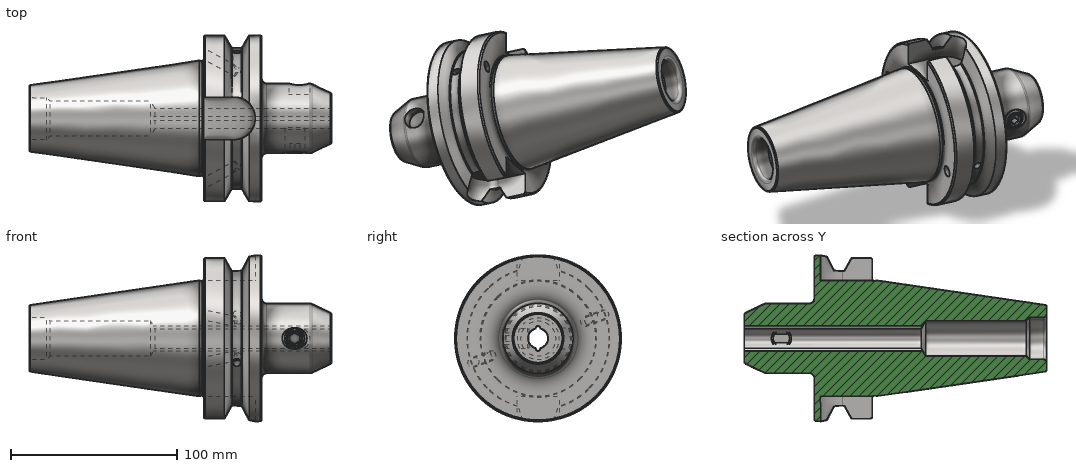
import cadquery as cq
import math


TOTAL_LENGTH = 181.8
GAUGE_X = 102.2
GAUGE_RADIUS = 34.9
TAPER_SLOPE = 7 / 48
SHANK_CHAMFER = 0.7
NECK_START_X = 103.5
NECK_RADIUS = 34.5
NECK_FILLET = 0.7

FLANGE_START_X = 104.7
FLANGE_END_X = 139.8
FLANGE_RADIUS = 50.0
FLANGE_CHAMFER = 0.9
GROOVE_X = 124.7
GROOVE_FLOOR_WIDTH = 6.2
GROOVE_RADIUS = 42.5
GROOVE_FILLET = 0.7
GROOVE_FLANK_ANGLE = 30.0

SLOT_WIDTH = 25.6
SLOT_END_X = 135.8
SLOT_FLOOR_Z = 34.9

NOSE_RADIUS = 21.0
NOSE_FILLET = 2.7
NOSE_CONE_X = 169.0
NOSE_CONE_ROUND = 2.5
NOSE_TIP_RADIUS = 15.5
NOSE_TIP_CHAMFER = 0.9

PILOT_RADIUS = 12.5
PILOT_MOUTH_ROUND = 2.2
PILOT_DEPTH = 10.4
THREAD_RADIUS = 10.5
THREAD_END_X = 72.7
DRILL_TIP_ANGLE = 59.0

TOOL_BORE_RADIUS = 6.0
COOLANT_GROOVE_RADIUS = 1.3
COOLANT_GROOVE_OFFSET = 6.2

COOLANT_ANGLE = 20.0
COOLANT_TILT = 30.0
COOLANT_FACE_RADIUS = 41.5
COOLANT_FACE_HOLE_DIAMETER = 6.0
COOLANT_GROOVE_HOLE_DIAMETER = 4.7

SCREW_X = 159.5
SCREW_RADIUS = 6.0
SCREW_TIP_Y = -5.5
SCREW_HEAD_Y = -20.9
SCREW_CHAMFER = 1.0
SCREW_SEAT_RADIUS = 7.5
HEX_ACROSS_FLATS = 6.0
HEX_DEPTH = 6.0
HEX_MOUTH_RADIUS = 4.2

BALANCE_X = 162.2
BALANCE_RADIUS = 6.4
BALANCE_FLOOR_Y = 14.5

CUT_MARGIN = 1.8
EDGE_REACH = 0.2


def circle_at(x):
    """Selector for the edges lying in the plane at the given X."""
    return cq.selectors.BoxSelector(
        (x - EDGE_REACH, -FLANGE_RADIUS, -FLANGE_RADIUS),
        (x + EDGE_REACH, FLANGE_RADIUS, FLANGE_RADIUS),
        boundingbox=True,
    )


def turned_body():
    flank_length = (FLANGE_RADIUS - GROOVE_RADIUS) * math.tan(math.radians(GROOVE_FLANK_ANGLE))
    floor_start = GROOVE_X - GROOVE_FLOOR_WIDTH / 2
    floor_end = GROOVE_X + GROOVE_FLOOR_WIDTH / 2
    small_end_radius = GAUGE_RADIUS - GAUGE_X * TAPER_SLOPE
    body = (
        cq.Workplane("XZ")
        .moveTo(0, 0)
        .lineTo(0, small_end_radius - SHANK_CHAMFER)
        .lineTo(SHANK_CHAMFER, small_end_radius + SHANK_CHAMFER * TAPER_SLOPE)
        .lineTo(GAUGE_X, GAUGE_RADIUS)
        .lineTo(NECK_START_X, NECK_RADIUS)
        .lineTo(FLANGE_START_X - NECK_FILLET, NECK_RADIUS)
        .radiusArc((FLANGE_START_X, NECK_RADIUS + NECK_FILLET), -NECK_FILLET)
        .lineTo(FLANGE_START_X, FLANGE_RADIUS - FLANGE_CHAMFER)
        .lineTo(FLANGE_START_X + FLANGE_CHAMFER, FLANGE_RADIUS)
        .lineTo(floor_start - flank_length, FLANGE_RADIUS)
        .lineTo(floor_start, GROOVE_RADIUS)
        .lineTo(floor_end, GROOVE_RADIUS)
        .lineTo(floor_end + flank_length, FLANGE_RADIUS)
        .lineTo(FLANGE_END_X - FLANGE_CHAMFER, FLANGE_RADIUS)
        .lineTo(FLANGE_END_X, FLANGE_RADIUS - FLANGE_CHAMFER)
        .lineTo(FLANGE_END_X, NOSE_RADIUS + NOSE_FILLET)
        .radiusArc((FLANGE_END_X + NOSE_FILLET, NOSE_RADIUS), -NOSE_FILLET)
        .lineTo(NOSE_CONE_X, NOSE_RADIUS)
        .lineTo(TOTAL_LENGTH - NOSE_TIP_CHAMFER, NOSE_TIP_RADIUS)
        .lineTo(TOTAL_LENGTH, NOSE_TIP_RADIUS - NOSE_TIP_CHAMFER)
        .lineTo(TOTAL_LENGTH, 0)
        .close()
        .revolve(360, (0, 0, 0), (1, 0, 0))
    )
    for edge_x in (floor_start, floor_end):
        body = body.edges(circle_at(edge_x)).fillet(GROOVE_FILLET)
    return body.edges(circle_at(NOSE_CONE_X)).fillet(NOSE_CONE_ROUND)


def stepped_bore():
    thread_chamfer = PILOT_RADIUS - THREAD_RADIUS
    drill_tip_length = (THREAD_RADIUS - TOOL_BORE_RADIUS) / math.tan(math.radians(DRILL_TIP_ANGLE))
    return (
        cq.Workplane("XZ")
        .moveTo(0, 0)
        .lineTo(0, PILOT_RADIUS + PILOT_MOUTH_ROUND)
        .radiusArc((PILOT_MOUTH_ROUND, PILOT_RADIUS), -PILOT_MOUTH_ROUND)
        .lineTo(PILOT_DEPTH, PILOT_RADIUS)
        .lineTo(PILOT_DEPTH + thread_chamfer, THREAD_RADIUS)
        .lineTo(THREAD_END_X, THREAD_RADIUS)
        .lineTo(THREAD_END_X + drill_tip_length, TOOL_BORE_RADIUS)
        .lineTo(TOTAL_LENGTH, TOOL_BORE_RADIUS)
        .lineTo(TOTAL_LENGTH, 0)
        .close()
        .revolve(360, (0, 0, 0), (1, 0, 0))
    )


def coolant_grooves():
    return (
        cq.Workplane("YZ", origin=(THREAD_END_X, 0, 0))
        .pushPoints([(0, COOLANT_GROOVE_OFFSET), (0, -COOLANT_GROOVE_OFFSET)])
        .circle(COOLANT_GROOVE_RADIUS)
        .extrude(TOTAL_LENGTH - THREAD_END_X)
    )


def drive_slot():
    """Round-ended keyway on the +Z side, open towards the shank."""
    half_width = SLOT_WIDTH / 2
    arc_x = SLOT_END_X - half_width
    return (
        cq.Workplane("XY", origin=(0, 0, SLOT_FLOOR_Z))
        .moveTo(FLANGE_START_X, -half_width)
        .lineTo(arc_x, -half_width)
        .threePointArc((SLOT_END_X, 0), (arc_x, half_width))
        .lineTo(FLANGE_START_X, half_width)
        .close()
        .extrude(FLANGE_RADIUS - SLOT_FLOOR_Z + CUT_MARGIN)
    )


def coolant_passage():
    """Tilted hole from the flange face meeting a radial hole from the groove, on the -Y side."""
    tilt = math.radians(COOLANT_TILT)
    run = GROOVE_X - FLANGE_START_X
    meeting_radius = COOLANT_FACE_RADIUS - run * math.tan(tilt)
    inward = cq.Vector(math.cos(tilt), math.sin(tilt), 0)
    entry = cq.Vector(FLANGE_START_X, -COOLANT_FACE_RADIUS, 0)
    tilted_hole = cq.Solid.makeCylinder(
        COOLANT_FACE_HOLE_DIAMETER / 2,
        run / math.cos(tilt) + CUT_MARGIN,
        entry - inward * CUT_MARGIN,
        inward,
    )
    radial_hole = cq.Solid.makeCylinder(
        COOLANT_GROOVE_HOLE_DIAMETER / 2,
        GROOVE_RADIUS - meeting_radius + CUT_MARGIN,
        cq.Vector(GROOVE_X, -meeting_radius, 0),
        cq.Vector(0, -1, 0),
    )
    passage = cq.Workplane(tilted_hole).union(cq.Workplane(radial_hole))
    return passage.rotate((0, 0, 0), (1, 0, 0), COOLANT_ANGLE)


def screw_hole():
    """Radial hole that holds the clamping screw, with a 90 degree countersink at its mouth."""
    seat_depth = SCREW_SEAT_RADIUS - SCREW_RADIUS
    return (
        cq.Workplane("XY")
        .moveTo(SCREW_X, SCREW_TIP_Y)
        .lineTo(SCREW_X + SCREW_RADIUS, SCREW_TIP_Y)
        .lineTo(SCREW_X + SCREW_RADIUS, -NOSE_RADIUS + seat_depth)
        .lineTo(SCREW_X + SCREW_SEAT_RADIUS, -NOSE_RADIUS)
        .lineTo(SCREW_X, -NOSE_RADIUS)
        .close()
        .revolve(360, (SCREW_X, 0, 0), (SCREW_X, 1, 0))
    )


def balance_hole():
    return (
        cq.Workplane("XZ", origin=(BALANCE_X, BALANCE_FLOOR_Y, 0))
        .circle(BALANCE_RADIUS)
        .extrude(BALANCE_FLOOR_Y - NOSE_RADIUS - CUT_MARGIN)
    )


def make_housing():
    body = turned_body().cut(stepped_bore()).cut(coolant_grooves())
    for turn in (0, 180):
        body = body.cut(drive_slot().rotate((0, 0, 0), (1, 0, 0), turn))
        body = body.cut(coolant_passage().rotate((0, 0, 0), (1, 0, 0), turn))
    return body.cut(screw_hole()).cut(balance_hole())


def make_screw():
    blank = (
        cq.Workplane("XZ", origin=(SCREW_X, SCREW_TIP_Y, 0))
        .circle(SCREW_RADIUS)
        .extrude(SCREW_TIP_Y - SCREW_HEAD_Y)
        .faces("<Y or >Y")
        .chamfer(SCREW_CHAMFER)
    )
    hex_socket = (
        cq.Workplane("XZ", origin=(SCREW_X, SCREW_HEAD_Y + HEX_DEPTH, 0))
        .polygon(6, HEX_ACROSS_FLATS, circumscribed=True)
        .extrude(HEX_DEPTH)
    )
    socket_mouth = cq.Workplane(
        cq.Solid.makeCone(
            HEX_MOUTH_RADIUS,
            0,
            HEX_MOUTH_RADIUS,
            cq.Vector(SCREW_X, SCREW_HEAD_Y, 0),
            cq.Vector(0, 1, 0),
        )
    )
    return blank.cut(hex_socket).cut(socket_mouth)


housing = make_housing()
screw = make_screw()

result = cq.Compound.makeCompound([housing.val(), screw.val()])